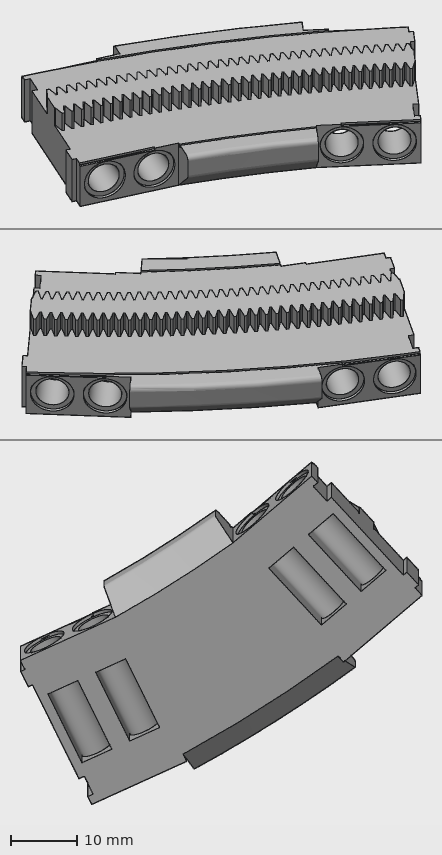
import cadquery as cq
import math

CURVE_RADIUS = 200.0
TOOTH_COUNT = 36
GEAR_MODULE = 0.5
TOOTH_PITCH = GEAR_MODULE * math.pi
SWEEP = TOOTH_COUNT * TOOTH_PITCH / CURVE_RADIUS
SWEEP_DEG = math.degrees(SWEEP)

TOLERANCE = 1e-6

BASE_HEIGHT = 7.8
TOTAL_HEIGHT = 11.0

BLOCK_HALF_WIDTH = 12.6
BLOCK_LENGTH = 15.9

LEDGE_HALF_WIDTH = 15.92
LEDGE_BEVEL_HEIGHT = 4.0
LEDGE_FILLET = 0.8

RACK_TIP_OFFSET = 3.35
RACK_ROOT_OFFSET = 1.65
TOOTH_TIP_WIDTH = 0.38
TOOTH_GAP_WIDTH = 0.23

GROOVE_INNER_OFFSET = 12.25
GROOVE_OUTER_OFFSET = 12.6
GROOVE_DEPTH = 0.4

REBATE_WIDTH = 0.36
REBATE_DEPTH = 0.35
REBATE_LENGTH = 12.1

JOINT_OFFSET = 9.65
TAB_WIDTH = 2.7
TAB_LENGTH = 0.7
NOTCH_WIDTH = 3.1
NOTCH_DEPTH = 0.9

HOLE_DIAMETER = 5.0
HOLE_AXIS_HEIGHT = 4.0
HOLE_POSITIONS = (4.0, 12.0)
COUNTERBORE_DIAMETER = 6.6
COUNTERBORE_DEPTH = 0.5
SLOT_LENGTH = 12.0


def curve_point(offset, angle):
    """Point at a sideways offset from the centreline (+ towards the bend) and an angle along it."""
    radius = CURVE_RADIUS - offset
    return (CURVE_RADIUS - radius * math.cos(angle), radius * math.sin(angle))


def to_far_end(solid):
    """Turn a near-end body half round so it sits at the far end of the curve."""
    flipped = solid.rotate((0, 0, 0), (0, 0, 1), 180 - SWEEP_DEG)
    end_x, end_y = curve_point(0, SWEEP)
    return flipped.translate((end_x, end_y, 0))


def box(x_min, x_max, y_min, y_max, z_min, z_max):
    size = (x_max - x_min, y_max - y_min, z_max - z_min)
    return cq.Workplane("XY").box(*size, centered=False).translate((x_min, y_min, z_min))


def cross_cylinder(diameter, x_min, x_max, y):
    """Cylinder along X at the height of the cross holes."""
    return (
        cq.Workplane("YZ", origin=(x_min, 0, 0))
        .center(y, HOLE_AXIS_HEIGHT)
        .circle(diameter / 2)
        .extrude(x_max - x_min)
    )


def cut_cross_hole(block, y):
    wall = BLOCK_HALF_WIDTH
    radius = HOLE_DIAMETER / 2
    half_slot = SLOT_LENGTH / 2
    inner_wall = wall - COUNTERBORE_DEPTH
    block = block.cut(cross_cylinder(HOLE_DIAMETER, -wall, wall, y))
    block = block.cut(cross_cylinder(COUNTERBORE_DIAMETER, -wall, -inner_wall, y))
    block = block.cut(cross_cylinder(COUNTERBORE_DIAMETER, inner_wall, wall, y))
    return block.cut(box(-half_slot, half_slot, y - radius, y + radius, 0, HOLE_AXIS_HEIGHT))


def cut_edge_rebates(block):
    wall = BLOCK_HALF_WIDTH
    rebate_wall = wall - REBATE_WIDTH
    rebate_floor = BASE_HEIGHT - REBATE_DEPTH
    block = block.cut(box(-wall, -rebate_wall, 0, REBATE_LENGTH, rebate_floor, BASE_HEIGHT))
    return block.cut(box(rebate_wall, wall, 0, REBATE_LENGTH, rebate_floor, BASE_HEIGHT))


def end_block():
    """Near end block with its tab, notch, edge rebates and cross holes."""
    block = box(-BLOCK_HALF_WIDTH, BLOCK_HALF_WIDTH, 0, BLOCK_LENGTH, 0, BASE_HEIGHT)
    tab_start = JOINT_OFFSET - TAB_WIDTH / 2
    block = block.union(box(tab_start, tab_start + TAB_WIDTH, -TAB_LENGTH, 0, 0, BASE_HEIGHT))
    notch_start = -JOINT_OFFSET - NOTCH_WIDTH / 2
    block = block.cut(box(notch_start, notch_start + NOTCH_WIDTH, 0, NOTCH_DEPTH, 0, BASE_HEIGHT))
    block = cut_edge_rebates(block)
    for y in HOLE_POSITIONS:
        block = cut_cross_hole(block, y)
    return block


def ledge_profile():
    """Cross-section of the curved middle: sides bevelled at 45 degrees below, rounded above."""
    bottom_half_width = LEDGE_HALF_WIDTH - LEDGE_BEVEL_HEIGHT
    right_side = [
        (bottom_half_width, 0),
        (LEDGE_HALF_WIDTH, LEDGE_BEVEL_HEIGHT),
        (LEDGE_HALF_WIDTH, BASE_HEIGHT),
    ]
    left_side = [(-x, z) for x, z in reversed(right_side)]
    return cq.Workplane("XZ").polyline(right_side + left_side).close()


def curved_middle():
    """Curved middle between the inner faces of the two end blocks."""
    side_radii = (CURVE_RADIUS - LEDGE_HALF_WIDTH, CURVE_RADIUS + LEDGE_HALF_WIDTH)

    def is_side_edge(edge):
        return edge.geomType() == "CIRCLE" and min(abs(edge.radius() - r) for r in side_radii) < TOLERANCE

    body = ledge_profile().revolve(SWEEP_DEG, (CURVE_RADIUS, 0, 0), (CURVE_RADIUS, -1, 0))
    body = body.newObject([e for e in body.edges().vals() if is_side_edge(e)]).fillet(LEDGE_FILLET)
    reach = 2 * LEDGE_HALF_WIDTH
    near_end = box(-reach, reach, -reach, BLOCK_LENGTH, 0, BASE_HEIGHT)
    return body.cut(near_end).cut(to_far_end(near_end))


def curved_strip(inner_offset, outer_offset, z_min, z_max):
    """Full-length strip that follows the curve between two sideways offsets."""
    return (
        cq.Workplane("XY", origin=(0, 0, z_min))
        .moveTo(*curve_point(inner_offset, 0))
        .threePointArc(curve_point(inner_offset, SWEEP / 2), curve_point(inner_offset, SWEEP))
        .lineTo(*curve_point(outer_offset, SWEEP))
        .threePointArc(curve_point(outer_offset, SWEEP / 2), curve_point(outer_offset, 0))
        .close()
        .extrude(z_max - z_min)
    )


def rack_side(side):
    """Toothed edge from the near end to the far end; side is -1 for left and +1 for right."""
    root = side * RACK_ROOT_OFFSET
    tip = side * RACK_TIP_OFFSET
    half_gap = TOOTH_GAP_WIDTH / 2 / CURVE_RADIUS
    half_tip = TOOTH_TIP_WIDTH / 2 / CURVE_RADIUS
    pitch = SWEEP / TOOTH_COUNT
    points = [curve_point(root, 0)]
    for tooth in range(TOOTH_COUNT):
        start = tooth * pitch
        middle = start + pitch / 2
        end = start + pitch
        points.append(curve_point(root, start + half_gap))
        points.append(curve_point(tip, middle - half_tip))
        points.append(curve_point(tip, middle + half_tip))
        points.append(curve_point(root, end - half_gap))
    points.append(curve_point(root, SWEEP))
    return points


def rack():
    outline = rack_side(-1) + rack_side(1)[::-1]
    height = TOTAL_HEIGHT - BASE_HEIGHT
    return cq.Workplane("XY", origin=(0, 0, BASE_HEIGHT)).polyline(outline).close().extrude(height)


def edge_groove(side):
    groove_bottom = BASE_HEIGHT - GROOVE_DEPTH
    return curved_strip(side * GROOVE_INNER_OFFSET, side * GROOVE_OUTER_OFFSET, groove_bottom, BASE_HEIGHT)


near_block = end_block()
base = curved_middle().union(near_block).union(to_far_end(near_block))
for side in (-1, 1):
    base = base.cut(edge_groove(side))
result = base.union(rack())